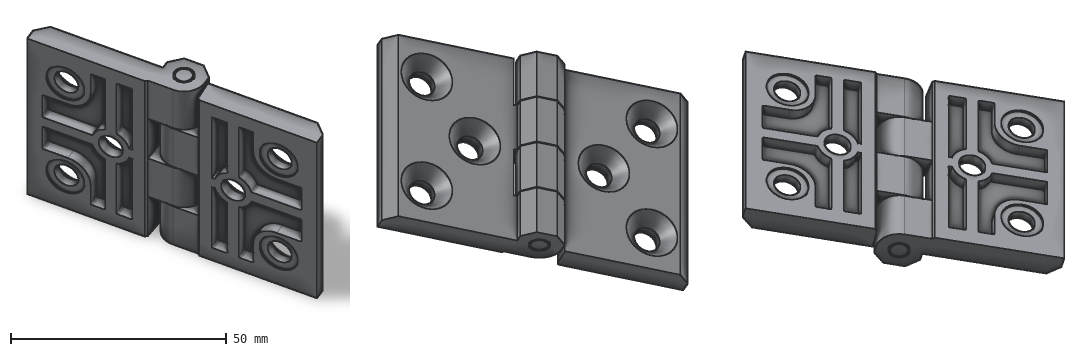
import cadquery as cq
import math


half_span = 38.0
leaf_height = 50.0
leaf_thick = 6.0
outer_chamfer = 3.0
wall_back_x = 6.3
wall_front_x = 6.6
wall_bevel = 0.5
leaf_front = -leaf_thick

axial_gap = 0.2
knuckle_pitch = leaf_height / 4
knuckle_height = knuckle_pitch - axial_gap
knuckle_width = 11.0
knuckle_radius = knuckle_width / 2
knuckle_back = knuckle_width - leaf_thick
knuckle_chamfer = 3.0
leaf_knuckles = 2

pin_dia = 5.0
pin_chamfer = 0.45

hole_dia = 6.3
sink_dia = 12.7
sink_angle = 90
boss_dia = 10.0
spot_depth = 0.5
mid_hole_x = 16.0
outer_hole_x = 28.0
outer_hole_z = 15.0

pocket_depth = 3.0
rim_width = 4.0
rib_half = 3.0 / 2
slot_inner_x = 10.4
elbow_x = 21.35
elbow_z = 8.7
elbow_radius = 6.0
corner_radius = 0.45

pocket_top = leaf_height / 2 - rim_width
pocket_outer_x = half_span - rim_width


def plan_prism(outline, z_low, height):
    """Extrude a closed outline in the XY plane upward from z_low."""
    return outline.close().extrude(height).translate((0, 0, z_low))


def front_disc(diameter, depth, x, z, y_front):
    """Cylinder along Y whose front face is at y_front."""
    plane = cq.Plane(origin=(x, y_front, z), xDir=(1, 0, 0), normal=(0, 1, 0))
    return cq.Workplane(plane).circle(diameter / 2).extrude(depth)


def plate():
    outline = (
        cq.Workplane("XY")
        .moveTo(wall_back_x, 0)
        .lineTo(half_span - outer_chamfer, 0)
        .lineTo(half_span, -outer_chamfer)
        .lineTo(half_span, leaf_front)
        .lineTo(wall_front_x + wall_bevel, leaf_front)
        .lineTo(wall_front_x, -knuckle_radius)
    )
    return plan_prism(outline, -leaf_height / 2, leaf_height)


def knuckle(z_low):
    """Knuckle reaching across to the plate wall, rounded at the free front corner."""
    top_half = knuckle_radius - knuckle_chamfer
    shoulder = knuckle_back - knuckle_chamfer
    arc_mid = -knuckle_radius * math.sqrt(0.5)
    outline = (
        cq.Workplane("XY")
        .moveTo(-top_half, knuckle_back)
        .lineTo(top_half, knuckle_back)
        .lineTo(knuckle_radius, shoulder)
        .lineTo(knuckle_radius, 0)
        .lineTo(wall_back_x, 0)
        .lineTo(wall_front_x, -knuckle_radius)
        .lineTo(0, -knuckle_radius)
        .threePointArc((arc_mid, arc_mid), (-knuckle_radius, 0))
        .lineTo(-knuckle_radius, shoulder)
    )
    return plan_prism(outline, z_low, knuckle_height)


def slot_pocket():
    """Straight pocket between the hinge side and the vertical rib."""
    width = mid_hole_x - rib_half - slot_inner_x
    length = pocket_top - rib_half
    return (
        cq.Workplane("XY")
        .box(width, pocket_depth, length, centered=False)
        .edges("|Y and >Z")
        .fillet(corner_radius)
        .translate((slot_inner_x, leaf_front, rib_half))
    )


def elbow_pocket():
    """L-shaped pocket that bends around an outer screw hole."""
    inner_x = mid_hole_x + rib_half
    pocket = (
        cq.Workplane("XZ", origin=(0, leaf_front, 0))
        .moveTo(inner_x, rib_half)
        .lineTo(pocket_outer_x, rib_half)
        .lineTo(pocket_outer_x, elbow_z)
        .lineTo(elbow_x, elbow_z)
        .lineTo(elbow_x, pocket_top)
        .lineTo(inner_x, pocket_top)
        .close()
        .extrude(-pocket_depth)
    )
    elbow = cq.selectors.NearestToPointSelector((elbow_x, leaf_front + pocket_depth / 2, elbow_z))
    pocket = pocket.edges("|Y").edges(elbow).fillet(elbow_radius)
    pocket = pocket.edges("|Y and >Z").fillet(corner_radius)
    return pocket.edges("|Y and >X").fillet(corner_radius)


def pockets():
    """Upper pockets and their mirror images, clear of the ring around the middle hole."""
    upper = slot_pocket().union(elbow_pocket())
    upper = upper.cut(front_disc(boss_dia, pocket_depth, mid_hole_x, 0, leaf_front))
    ring_reach = math.sqrt((boss_dia / 2) ** 2 - rib_half**2)
    ring_corners = (
        (mid_hole_x - rib_half, ring_reach),
        (mid_hole_x + rib_half, ring_reach),
        (mid_hole_x + ring_reach, rib_half),
    )
    for x, z in ring_corners:
        corner = cq.selectors.NearestToPointSelector((x, leaf_front + pocket_depth / 2, z))
        upper = upper.edges("|Y").edges(corner).fillet(corner_radius)
    return upper.union(upper.mirror("XY"))


def screw_hole(x, z):
    """Through hole with a countersink on the back face."""
    drill = front_disc(hole_dia, leaf_thick, x, z, leaf_front)
    sink_depth = (sink_dia - hole_dia) / 2 / math.tan(math.radians(sink_angle / 2))
    cone = cq.Solid.makeCone(
        sink_dia / 2, hole_dia / 2, sink_depth, pnt=cq.Vector(x, 0, z), dir=cq.Vector(0, -1, 0)
    )
    return drill.union(cq.Workplane(cone))


def make_leaf():
    """Leaf on the +X side, centred on Z = 0, with its lowest knuckle flush with the bottom."""
    leaf = plate()
    for i in range(leaf_knuckles):
        leaf = leaf.union(knuckle(-leaf_height / 2 + 2 * i * knuckle_pitch))
    leaf = leaf.cut(cq.Workplane("XY").circle(pin_dia / 2).extrude(leaf_height / 2, both=True))
    leaf = leaf.cut(pockets())
    leaf = leaf.cut(screw_hole(mid_hole_x, 0))
    for z in (-outer_hole_z, outer_hole_z):
        leaf = leaf.cut(screw_hole(outer_hole_x, z))
        leaf = leaf.cut(front_disc(boss_dia, spot_depth, outer_hole_x, z, leaf_front))
    return leaf


def make_pin():
    """Pin whose ends are flush with the outermost knuckles."""
    length = leaf_height - axial_gap
    return (
        cq.Workplane("XY", origin=(0, 0, -length / 2))
        .circle(pin_dia / 2)
        .extrude(length)
        .faces("<Z or >Z")
        .chamfer(pin_chamfer)
    )


leaves = []
for turn, shift in ((0, axial_gap / 2), (180, -axial_gap / 2)):
    turned = make_leaf().rotate((0, 0, 0), (0, 1, 0), turn)
    leaves.append(turned.translate((0, 0, shift)))

hinge_pin = make_pin()

result = cq.Compound.makeCompound([*[leaf.val() for leaf in leaves], hinge_pin.val()])